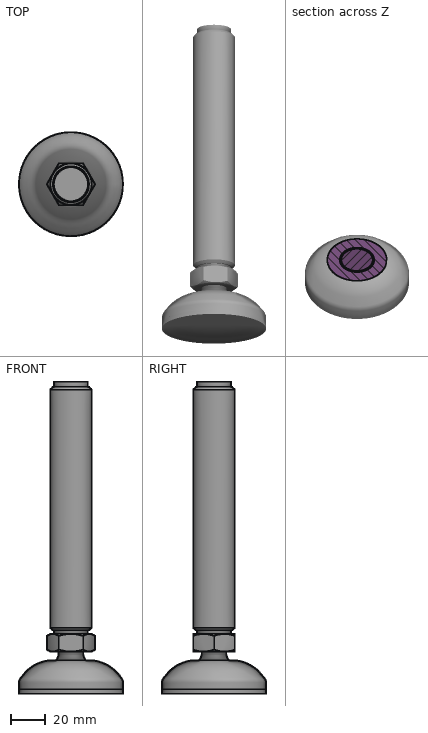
import cadquery as cq
import math

pad_height = 2.5
rim_top = 6.3
dome_bottom = 9.0
dome_top = 19.2
flare_top = 22.4
hex_bottom = 24.2
hex_height = 10.2
rod_bottom = 36.4
rod_top = 176.2
total_height = 179.2

foot_diameter = 59.9
dome_bottom_diameter = 58.0
dome_top_diameter = 26.5
dome_bulge = 2.0
rim_bulge = 0.27
recess_diameter = 24.0
recess_depth = 0.5
seat_diameter = 19.5
seat_depth = 1.8

recess_floor = dome_top - recess_depth
seat_floor = dome_top - seat_depth

rod_diameter = 24.0
journal_diameter = 19.5
neck_diameter = 14.3
flare_diameter = 18.3
flare_bulge = 0.4
rod_chamfer = 1.6
hex_across_flats = rod_diameter
hex_chamfer_diameter = 23.7
hex_chamfer_angle = 30.0


def bulged_middle(start, end, bulge):
    """Midpoint of a chord, moved to the right of its direction by the bulge."""
    run = end[0] - start[0]
    rise = end[1] - start[1]
    length = math.hypot(run, rise)
    return (
        (start[0] + end[0]) / 2 + bulge * rise / length,
        (start[1] + end[1]) / 2 - bulge * run / length,
    )


def make_pad():
    """Flat disc on which the foot stands."""
    return cq.Workplane("XY").circle(foot_diameter / 2).extrude(pad_height)


def make_foot():
    """Domed plate with a rounded rim, a shallow top recess and a seat for the spindle end."""
    rim = (foot_diameter / 2, rim_top)
    dome_edge = (dome_bottom_diameter / 2, dome_bottom)
    crown_edge = (dome_top_diameter / 2, dome_top)
    return (
        cq.Workplane("XZ")
        .moveTo(0, pad_height)
        .lineTo(foot_diameter / 2, pad_height)
        .lineTo(*rim)
        .threePointArc(bulged_middle(rim, dome_edge, rim_bulge), dome_edge)
        .threePointArc(bulged_middle(dome_edge, crown_edge, dome_bulge), crown_edge)
        .lineTo(recess_diameter / 2, dome_top)
        .lineTo(recess_diameter / 2, recess_floor)
        .lineTo(seat_diameter / 2, recess_floor)
        .lineTo(seat_diameter / 2, seat_floor)
        .lineTo(0, seat_floor)
        .close()
        .revolve(360, (0, 0, 0), (0, 1, 0))
    )


def make_hex():
    """Hexagon with corners on X, its corners bevelled at both ends."""
    across_corners = hex_across_flats / math.cos(math.pi / 6)
    corner_radius = across_corners / 2
    bevel_radius = hex_chamfer_diameter / 2
    bevel_height = (corner_radius - bevel_radius) * math.tan(math.radians(hex_chamfer_angle))
    hexagon = (
        cq.Workplane("XY")
        .workplane(offset=hex_bottom)
        .polygon(6, across_corners)
        .extrude(hex_height)
    )
    hex_top = hex_bottom + hex_height
    bevel_envelope = (
        cq.Workplane("XZ")
        .moveTo(0, hex_bottom)
        .lineTo(bevel_radius, hex_bottom)
        .lineTo(corner_radius, hex_bottom + bevel_height)
        .lineTo(corner_radius, hex_top - bevel_height)
        .lineTo(bevel_radius, hex_top)
        .lineTo(0, hex_top)
        .close()
        .revolve(360, (0, 0, 0), (0, 1, 0))
    )
    return hexagon.intersect(bevel_envelope)


def make_spindle():
    """Rod with a reduced tip, a journal, a hexagon and a flared neck."""
    flare_end = (flare_diameter / 2, recess_floor)
    flare_start = (neck_diameter / 2, flare_top)
    rod_radius = rod_diameter / 2
    journal_radius = journal_diameter / 2
    shoulder_radius = rod_radius - rod_chamfer
    turned = (
        cq.Workplane("XZ")
        .moveTo(0, seat_floor)
        .lineTo(flare_end[0], seat_floor)
        .lineTo(*flare_end)
        .threePointArc(bulged_middle(flare_end, flare_start, -flare_bulge), flare_start)
        .lineTo(neck_diameter / 2, hex_bottom)
        .lineTo(journal_radius, hex_bottom)
        .lineTo(journal_radius, rod_bottom)
        .lineTo(shoulder_radius, rod_bottom)
        .lineTo(rod_radius, rod_bottom + rod_chamfer)
        .lineTo(rod_radius, rod_top - rod_chamfer)
        .lineTo(shoulder_radius, rod_top)
        .lineTo(journal_radius, rod_top)
        .lineTo(journal_radius, total_height)
        .lineTo(0, total_height)
        .close()
        .revolve(360, (0, 0, 0), (0, 1, 0))
    )
    return turned.union(make_hex())


pad = make_pad()
foot = make_foot()
spindle = make_spindle()

result = cq.Compound.makeCompound([pad.val(), foot.val(), spindle.val()])